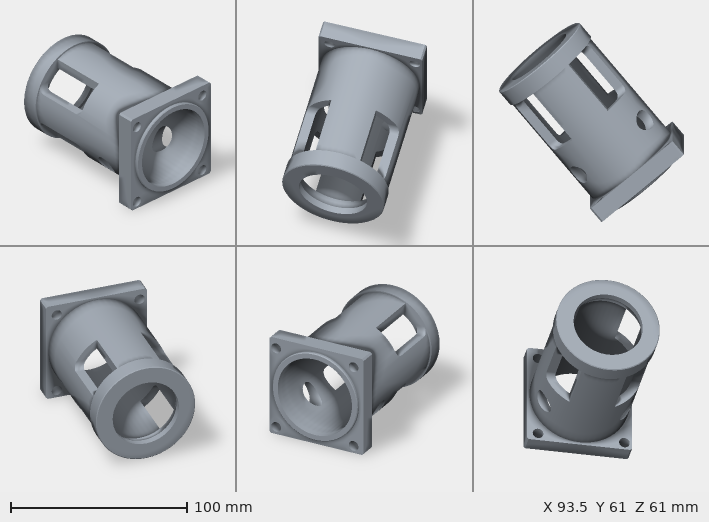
import cadquery as cq

total_length = 93.5
collar_length = 10.1
flange_start = 81.4
flange_thickness = 10.1
lip_depth = 4.0

collar_diameter = 60.0
body_diameter = 58.0
spigot_diameter = 55.0
flange_side = 61.0
flange_corner_chamfer = 1.0
end_chamfer = 0.5

lip_diameter = 40.0
seat_diameter = 44.0
bore_diameter = 48.0

bolt_diameter = 6.2
bolt_spacing = 50.0
bolt_center_y = -1.0
bolt_center_z = -1.0

window_length = 35.0
window_inner_y = 13.1
window_inner_z = 9.8
window_corner_radius = 4.0

cross_diameter = 12.0
cross_x = 64.2
cross_z = -15.0


def cylinder(diameter, start, end):
    """Solid cylinder on the X axis between two X positions."""
    return cq.Workplane("YZ", origin=(start, 0, 0)).circle(diameter / 2).extrude(end - start)


def square_flange():
    """Square plate with bevelled corners and four bolt holes."""
    plate = cq.Workplane("YZ", origin=(flange_start, 0, 0)).rect(flange_side, flange_side)
    plate = plate.extrude(flange_thickness).edges("|X").chamfer(flange_corner_chamfer)
    bolts = cq.Workplane("YZ", origin=(flange_start, bolt_center_y, bolt_center_z))
    bolts = bolts.rect(bolt_spacing, bolt_spacing, forConstruction=True).vertices()
    return plate.cut(bolts.circle(bolt_diameter / 2).extrude(flange_thickness))


def window_cutter(y_side, z_side):
    """Block open to the outside, rounded along its edges nearest the XY plane."""
    depth_y = body_diameter / 2 - window_inner_y
    depth_z = body_diameter / 2 - window_inner_z
    block = cq.Workplane("XY").box(window_length, depth_y, depth_z, centered=False)
    block = block.edges("|Y and <Z").fillet(window_corner_radius)
    block = block.translate((collar_length, window_inner_y, window_inner_z))
    if y_side < 0:
        block = block.mirror("XZ")
    if z_side < 0:
        block = block.mirror("XY")
    return block


collar = cylinder(collar_diameter, 0, collar_length).faces("<X").chamfer(end_chamfer)
tube = cylinder(body_diameter, collar_length, flange_start)
spigot = cylinder(spigot_diameter, flange_start, total_length).faces(">X").chamfer(end_chamfer)
result = collar.union(tube).union(square_flange()).union(spigot)

result = result.cut(cylinder(lip_diameter, 0, lip_depth))
result = result.cut(cylinder(seat_diameter, lip_depth, collar_length))
result = result.cut(cylinder(bore_diameter, collar_length, total_length))

for y_side in (-1, 1):
    for z_side in (-1, 1):
        result = result.cut(window_cutter(y_side, z_side))

cross_hole = cq.Workplane("XZ", origin=(cross_x, 0, cross_z)).circle(cross_diameter / 2)
result = result.cut(cross_hole.extrude(body_diameter / 2, both=True))